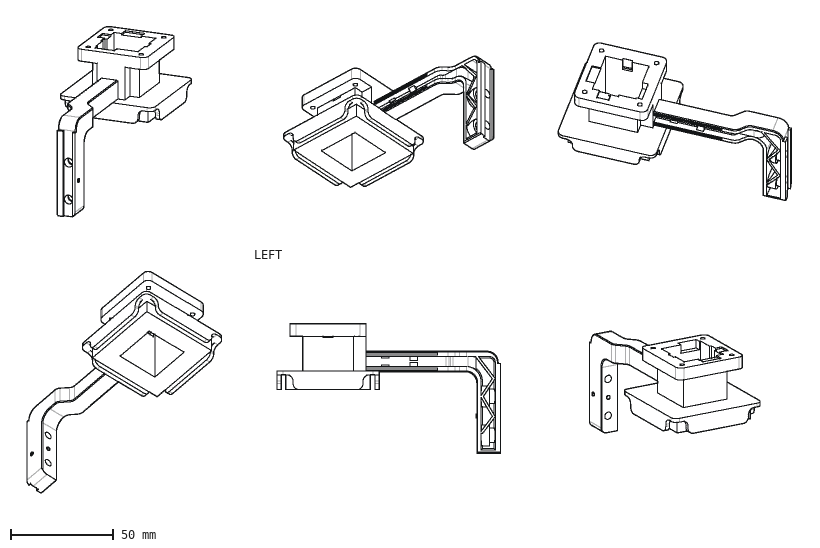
import cadquery as cq
import math


overall_length = 109.2
overall_height = 63.2

plate_side = 50.0
plate_thick = 2.0
plate_corner = 3.1
panel_thick = 2.2
panel_curve = 3.1
panel_waist = 17.0
skirt_depth = 9.2
block_side = 41.3

neck_side = 24.8
neck_height = 16.8
head_side = 37.3
head_top = 23.0
head_corner = 3.1
bore_side = 22.2
pad_width = 14.7
screw_pitch = 28.1
screw_dia = 2.2
pocket_depth = 0.8
front_pocket_depth = 4.4
back_pocket = (-7.1, 3.2, 15.6)
front_pocket = (-10.4, -0.1, -14.1)
side_pocket = (1.4, 7.4, -15.7)
notch_width = 4.9
notch_reach = 12.1
notch_depth = 6.9

arm_left = -5.5
arm_right = 3.6
leg_left = -0.4
leg_right = 9.1
arm_top = 9.6
arm_height = 10.0
arm_bottom = arm_top - arm_height
left_jog = -60.5
right_jog = -55.9
left_jog_radius = 5.0
right_jog_radius = 3.5
leg_back = -72.5
leg_front = -83.0
leg_bottom = head_top - overall_height
bend_radius = 5.5
leg_corner = 3.1
leg_chamfer = 0.5
edge_chamfer = 0.4

rail_front = plate_side / 2 - overall_length
rail_top = 3.7
left_rail_width = 3.2
right_rail_width = 1.4

channel_depth = 3.2
flange_thick = 2.6
channel_overrun = 1.1
clear_left = arm_left - channel_overrun
channel_bend = 7.4
floor_jog = -58.3
floor_jog_radius = 2.0
ramp_start = -68.2
ramp_end = -72.2
pocket_back = -74.6
pocket_front = -81.6
pocket_bottom = -38.7
pocket_bend = 3.0
pocket_floor = 7.5
pocket_draft = 5
rib_width = 1.2
rib_path = [(-72.5, 7.1), (-80.8, -3.8), (-75.0, -12.5), (-80.8, -22.3), (-75.0, -29.9)]
gussets = [(-28.0, 0.8), (-41.7, 1.9)]
gusset_thick = 3.6
groove_width = 0.9
groove_inset = 0.9
groove_depth = 0.2
groove_end = -53.3

hole_x = 5.2
hole_heights = (-12.5, -31.5)
hole_dia = 3.7
hole_front_dia = 4.5
boss_dia = 10.3
boss_small_dia = 7.0
boss_step = -78.9

nub_dia = 2.0
nub_z = -22.0
nub_y = -80.2
nub_height = 0.3

TOLERANCE = 0.01
ARC_RISE = 1 - math.sqrt(0.5)


def box(x0, x1, y0, y1, z0, z1):
    """Box between two opposite corners."""
    return cq.Workplane("XY").box(x1 - x0, y1 - y0, z1 - z0, centered=False).translate((x0, y0, z0))


def square_block(side, z0, z1):
    """Square prism centred on the Z axis."""
    half = side / 2
    return box(-half, half, -half, half, z0, z1)


def cylinder_y(x, z, dia, y0, y1):
    """Cylinder along Y."""
    return cq.Workplane("XZ", origin=(x, y0, z)).circle(dia / 2).extrude(y0 - y1)


def side_panel():
    """Front panel: concave curves below the plate, convex curves at the bottom."""
    top = -plate_thick
    bottom = -skirt_depth
    wide = panel_waist + panel_curve
    narrow = panel_waist - panel_curve
    cut = panel_curve * ARC_RISE
    mid_x = panel_waist + cut
    low_x = panel_waist - cut
    return (
        cq.Workplane("XZ", origin=(0, panel_thick - plate_side / 2, 0))
        .moveTo(-wide, top)
        .lineTo(wide, top)
        .threePointArc((mid_x, top - cut), (panel_waist, top - panel_curve))
        .lineTo(panel_waist, bottom + panel_curve)
        .threePointArc((low_x, bottom + cut), (narrow, bottom))
        .lineTo(-narrow, bottom)
        .threePointArc((-low_x, bottom + cut), (-panel_waist, bottom + panel_curve))
        .lineTo(-panel_waist, top - panel_curve)
        .threePointArc((-mid_x, top - cut), (-wide, top))
        .close()
        .extrude(panel_thick)
    )


def base():
    plate = square_block(plate_side, -plate_thick, 0).edges("|Z").fillet(plate_corner)
    body = plate.union(square_block(block_side, -skirt_depth, -plate_thick))
    for turn in range(4):
        body = body.union(side_panel().rotate((0, 0, 0), (0, 0, 1), 90 * turn))
    return body


def head():
    half = head_side / 2
    flange = square_block(head_side, neck_height, head_top).edges("|Z").fillet(head_corner)
    flange = (
        flange.faces(">Z").workplane(origin=(0, 0, head_top))
        .rect(screw_pitch, screw_pitch, forConstruction=True)
        .vertices()
        .hole(screw_dia)
    )
    pad = box(-pad_width / 2, pad_width / 2, -half, 0, 0, neck_height)
    return flange.union(square_block(neck_side, 0, neck_height)).union(pad)


def head_pockets():
    """Two shallow and one deep pocket around the bore, and a notch on either side of it."""
    floor = head_top - pocket_depth
    deep_floor = head_top - front_pocket_depth
    notch_floor = head_top - notch_depth
    back_from, back_to, back_y = back_pocket
    front_from, front_to, front_y = front_pocket
    side_from, side_to, side_x = side_pocket
    notch = notch_width / 2
    return (
        box(back_from, back_to, 0, back_y, floor, head_top)
        .union(box(front_from, front_to, front_y, 0, deep_floor, head_top))
        .union(box(side_x, 0, side_from, side_to, floor, head_top))
        .union(box(-notch_reach, notch_reach, -notch, notch, notch_floor, head_top))
    )


def jogged_strip(left, right, left_end, right_end, left_y, right_y, left_radius, right_radius):
    """Tall strip along -Y whose two sides shift to +X through a 45 degree jog."""
    start = -head_side / 2
    left_jogs = [(left, left_y), (left_end, left_y - left_end + left)]
    right_jogs = [(right, right_y), (right_end, right_y - right_end + right)]
    strip = (
        cq.Workplane("XY", origin=(0, 0, leg_bottom))
        .moveTo(left, start)
        .lineTo(*left_jogs[0])
        .lineTo(*left_jogs[1])
        .lineTo(left_end, rail_front)
        .lineTo(right_end, rail_front)
        .lineTo(*right_jogs[1])
        .lineTo(*right_jogs[0])
        .lineTo(right, start)
        .close()
        .extrude(arm_top - leg_bottom)
    )
    for jogs, radius in ((left_jogs, left_radius), (right_jogs, right_radius)):
        for x, y in jogs:
            corner = cq.selectors.BoxSelector(
                (x - TOLERANCE, y - TOLERANCE, leg_bottom),
                (x + TOLERANCE, y + TOLERANCE, arm_top),
            )
            strip = strip.edges(corner).fillet(radius)
    return strip


def bent_profile(top, bottom, back, front, end, inner_radius, outer_radius,
                 start_x=clear_left, draft=0):
    """L shape in the YZ plane, extruded to the right side of the leg."""
    inner_cut = inner_radius * ARC_RISE
    outer_cut = outer_radius * ARC_RISE
    start = -head_side / 2
    return (
        cq.Workplane("YZ", origin=(start_x, 0, 0))
        .moveTo(start, top)
        .lineTo(front + outer_radius, top)
        .threePointArc((front + outer_cut, top - outer_cut), (front, top - outer_radius))
        .lineTo(front, end)
        .lineTo(back, end)
        .lineTo(back, bottom - inner_radius)
        .threePointArc((back + inner_cut, bottom - inner_cut), (back + inner_radius, bottom))
        .lineTo(start, bottom)
        .close()
        .extrude(leg_right - start_x, taper=draft)
    )


def is_long_edge(edge):
    """True for the edges that run along the arm and leg, between its faces."""
    bounds = edge.BoundingBox()
    along_x = bounds.ylen + bounds.zlen < TOLERANCE
    at_end = bounds.ymin > -head_side / 2 - TOLERANCE or bounds.zmax < leg_bottom + TOLERANCE
    upright = bounds.zlen > TOLERANCE and bounds.xlen + bounds.ylen < TOLERANCE
    in_jog = upright and bounds.ymin > leg_back + TOLERANCE
    return not (along_x or at_end or in_jog)


def leg_end_trim():
    """Waste outside the rounded right and chamfered left corner of the leg end."""
    end = box(leg_left, leg_right, rail_front, leg_back, leg_bottom, leg_bottom + 2 * leg_corner)
    kept = end.edges("|Y and >X and <Z").fillet(leg_corner)
    return end.cut(kept.edges("|Y and <X and <Z").chamfer(leg_chamfer))


def arm_blank():
    """Solid arm with bevelled long edges and the two rails on the leg."""
    strip = jogged_strip(arm_left, arm_right, leg_left, leg_right, left_jog, right_jog,
                         left_jog_radius, right_jog_radius)
    blank = strip.intersect(
        bent_profile(arm_top, arm_bottom, leg_back, leg_front, leg_bottom, bend_radius, bend_radius))
    long_edges = [edge for edge in blank.edges().vals() if is_long_edge(edge)]
    blank = blank.newObject(long_edges).chamfer(edge_chamfer)
    rail_back = leg_front + edge_chamfer
    for x0, x1 in ((leg_left, leg_left + left_rail_width), (leg_right - right_rail_width, leg_right)):
        blank = blank.union(box(x0, x1, rail_front, rail_back, leg_bottom, rail_top))
    return blank.cut(leg_end_trim())


def rib(start, end):
    """Upright rib of the leg pocket between two points of the YZ plane."""
    (y0, z0), (y1, z1) = start, end
    length = math.hypot(y1 - y0, z1 - z0)
    angle = math.degrees(math.atan2(z1 - z0, y1 - y0))
    return (
        cq.Workplane("YZ", origin=(leg_left, 0, 0))
        .center((y0 + y1) / 2, (z0 + z1) / 2)
        .transformed(rotate=(0, 0, angle))
        .slot2D(length + rib_width, rib_width)
        .extrude(pocket_floor - leg_left)
    )


def leg_pocket():
    """Leg pocket in plan, with its rounded ramp, less the ribs and hole bosses."""
    radius = ramp_start - ramp_end
    inset = radius * ARC_RISE
    pocket = (
        cq.Workplane("XY", origin=(0, 0, leg_bottom))
        .moveTo(leg_left, ramp_start)
        .threePointArc((leg_left + inset, ramp_end + inset), (leg_left + radius, ramp_end))
        .lineTo(pocket_floor, ramp_end)
        .lineTo(pocket_floor, rail_front)
        .lineTo(leg_left, rail_front)
        .close()
        .extrude(arm_top - leg_bottom)
    )
    for start, end in zip(rib_path, rib_path[1:]):
        pocket = pocket.cut(rib(start, end))
    for z in hole_heights:
        pocket = pocket.cut(cylinder_y(hole_x, z, boss_dia, boss_step, leg_back))
        pocket = pocket.cut(cylinder_y(hole_x, z, boss_small_dia, leg_front, boss_step))
    return pocket


def channel():
    """Hollow along the left side of the arm, and the drafted pocket in the leg."""
    top = arm_top - flange_thick
    bottom = arm_bottom + flange_thick
    strip = jogged_strip(clear_left, arm_left + channel_depth, leg_left - channel_overrun, leg_left,
                         left_jog, floor_jog, left_jog_radius, floor_jog_radius)
    run = strip.intersect(box(clear_left, leg_right, ramp_start, -head_side / 2, bottom, top))
    opening = bent_profile(top, bottom, pocket_back, pocket_front, pocket_bottom, channel_bend, pocket_bend,
                           start_x=leg_left, draft=pocket_draft)
    return run.union(opening.intersect(leg_pocket()))


def gusset(y, size, height, direction):
    """Triangular gusset between the channel floor and one flange."""
    floor = arm_left + channel_depth
    return (
        cq.Workplane("XZ", origin=(0, y + gusset_thick / 2, height))
        .polyline([(floor, 0), (floor - size, 0), (floor, direction * size)])
        .close()
        .extrude(gusset_thick)
    )


def arm():
    body = arm_blank().cut(channel())
    for y, size in gussets:
        body = body.union(gusset(y, size, arm_top - flange_thick, -1))
        body = body.union(gusset(y, size, arm_bottom + flange_thick, 1))
    for z in (arm_top - groove_inset - groove_width, arm_bottom + groove_inset):
        body = body.cut(
            box(arm_left, arm_left + groove_depth, groove_end, -head_side / 2, z, z + groove_width))
    for z in hole_heights:
        body = body.cut(cylinder_y(hole_x, z, hole_dia, rail_front, leg_back))
        body = body.cut(cylinder_y(hole_x, z, hole_front_dia, rail_front, boss_step))
    right_nub = cq.Workplane("YZ", origin=(leg_right, nub_y, nub_z)).circle(nub_dia / 2).extrude(nub_height)
    back_nub = cylinder_y(hole_x, nub_z, nub_dia, leg_back, leg_back + nub_height)
    return body.union(right_nub).union(back_nub)


bore = square_block(bore_side, -skirt_depth, head_top)
result = base().union(head()).cut(bore).cut(head_pockets()).union(arm())